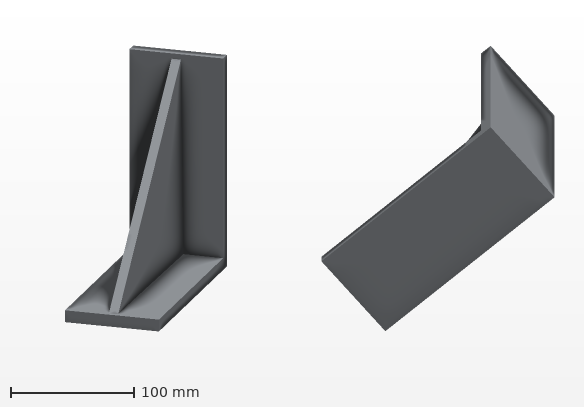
import cadquery as cq

width = 80.0
leg_length = 180.0
plate_thickness = 10.0

rib_setback = 4.5
rib_edge_thickness = 8.0
rib_corner_thickness = 12.0
rib_leg = leg_length - plate_thickness - rib_setback

inner_wall_y = leg_length - plate_thickness


def make_plates():
    """L-shaped pair of plates meeting at a square corner."""
    base = cq.Workplane("XY").box(width, leg_length, plate_thickness, centered=(True, False, False))
    wall = (
        cq.Workplane("XY")
        .box(width, plate_thickness, leg_length, centered=(True, False, False))
        .translate((0, inner_wall_y, 0))
    )
    return base.union(wall)


def make_rib():
    """Five-faced rib whose flat sides taper from the inner corner to the sloping edge."""
    half_edge = rib_edge_thickness / 2
    half_corner = rib_corner_thickness / 2

    def rib_triangle(side):
        corner = cq.Vector(side * half_corner, inner_wall_y, plate_thickness)
        base_tip = cq.Vector(side * half_edge, inner_wall_y - rib_leg, plate_thickness)
        wall_tip = cq.Vector(side * half_edge, inner_wall_y, plate_thickness + rib_leg)
        return [corner, base_tip, wall_tip]

    left = rib_triangle(-1)
    right = rib_triangle(1)
    outlines = [left, right]
    for start in range(3):
        end = (start + 1) % 3
        outlines.append([left[start], left[end], right[end], right[start]])
    faces = [cq.Face.makeFromWires(cq.Wire.makePolygon(points, close=True)) for points in outlines]
    return cq.Solid.makeSolid(cq.Shell.makeShell(faces))


result = make_plates().union(cq.Workplane(obj=make_rib())).clean()